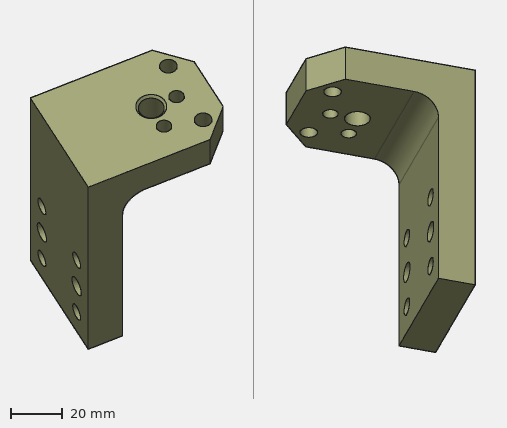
import cadquery as cq

width = 50.0
depth = 65.0
height = 100.0
thickness = 15.0
inner_radius = 10.0

corner_x = 12.5
corner_y = 12.0

column_offset = 15.0
screw_diameter = 6.8
dowel_diameter = 8.0
dowel_height = 28.0
screw_spacing = 16.0
flange_screw_inset = 10.0

bore_diameter = 10.0
bore_chamfer = 1.0
bore_y = depth - 25.0
pin_diameter = 6.0
pin_radius = 11.0


def bracket_body():
    """L-shaped profile in the YZ plane, centred across X."""
    profile = [
        (0, 0),
        (thickness, 0),
        (thickness, height - thickness),
        (depth, height - thickness),
        (depth, height),
        (0, height),
    ]
    body = cq.Workplane("YZ").polyline(profile).close().extrude(width / 2, both=True)
    inner_corner = cq.selectors.NearestToPointSelector((0, thickness, height - thickness))
    return body.edges(inner_corner).fillet(inner_radius)


def clipped_corner(side):
    """Triangular prism removing one flange corner; side is -1 or 1."""
    edge_x = side * width / 2
    triangle = [
        (edge_x, depth),
        (edge_x - side * corner_x, depth),
        (edge_x, depth - corner_y),
    ]
    return cq.Workplane("XY").polyline(triangle).close().extrude(height)


def plate_holes(points, diameter):
    """Cylinders through the upright plate at (x, z) points."""
    return cq.Workplane("XZ").pushPoints(points).circle(diameter / 2).extrude(-thickness)


def flange_holes(points, diameter):
    """Cylinders through the flange at (x, y) points."""
    top = cq.Workplane("XY").workplane(offset=height)
    return top.pushPoints(points).circle(diameter / 2).extrude(-thickness)


def bore_countersink():
    """Cone that chamfers the top rim of the main bore."""
    top = cq.Workplane("XY", origin=(0, bore_y, height))
    rim_radius = bore_diameter / 2 + bore_chamfer
    return top.circle(rim_radius).extrude(-bore_chamfer, taper=45)


result = bracket_body()
for side in (-1, 1):
    result = result.cut(clipped_corner(side))

columns = (-column_offset, column_offset)
screw_rows = (dowel_height - screw_spacing, dowel_height + screw_spacing)
plate_screws = [(x, z) for x in columns for z in screw_rows]
plate_dowels = [(x, dowel_height) for x in columns]
flange_screws = [(x, depth - flange_screw_inset) for x in columns]
pins = [(0, bore_y + pin_radius), (pin_radius, bore_y)]

result = result.cut(plate_holes(plate_screws, screw_diameter))
result = result.cut(plate_holes(plate_dowels, dowel_diameter))
result = result.cut(flange_holes(flange_screws, screw_diameter))
result = result.cut(flange_holes(pins, pin_diameter))
result = result.cut(flange_holes([(0, bore_y)], bore_diameter))
result = result.cut(bore_countersink())